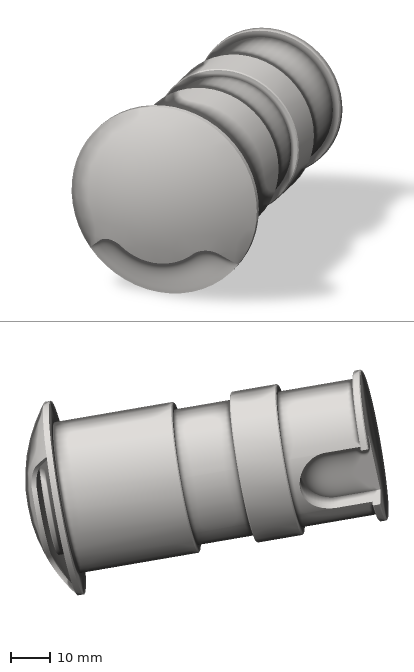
import cadquery as cq
import math

total_length = 89.8

cap_radius = 25.01
plate_thickness = 1.5
dome_height = 8.7
dome_wall = 1.2

opening_arc_radius = 15.1
hump_radius = 5.0
hump_angle = 40.0
flank_angle = 42.0

lens_radius = 14.0
lens_thickness = 3.3

tube_radius = 17.5
flange_radius = 19.5
flange_thickness = 2.0

slot_half_width = 8.0
slot_length = 19.2

collar_radius = flange_radius
sleeve_length = 30.9
ring_start = 45.8
ring_length = 12.0

edge_chamfer = 0.3

cap_depth = plate_thickness + dome_height
tube_length = total_length - cap_depth
dome_radius = (cap_radius**2 + dome_height**2) / (2 * dome_height)
dome_center_y = dome_radius - cap_depth
cavity_radius = dome_radius - dome_wall
slot_depth = slot_half_width

largest_circles = cq.selectors.RadiusNthSelector(-1)


def disc(radius, start_y, length):
    """Cylinder along Y running from start_y towards +Y."""
    plane = cq.Workplane("XZ", origin=(0, start_y, 0))
    return plane.circle(radius).extrude(-length)


def polar_from_below(radius, angle):
    """(X, Z) point at an angle from straight down, positive towards +X."""
    turn = math.radians(angle)
    return radius * math.sin(turn), -radius * math.cos(turn)


def dome_solid(radius):
    """Part of a ball about the dome centre that stands in front of the plate."""
    ball = cq.Workplane("XY").sphere(radius).translate((0, dome_center_y, 0))
    front_space = disc(cap_radius, -cap_depth, dome_height)
    return ball.intersect(front_space)


def light_opening():
    """Prism of the opening: a concentric arc between two humps and sloping flanks."""
    flank = math.radians(flank_angle)
    hump_x, hump_z = polar_from_below(opening_arc_radius + hump_radius, hump_angle)
    arc_end_x, arc_end_z = polar_from_below(opening_arc_radius, hump_angle)
    flank_top_x = hump_x + hump_radius * math.sin(flank)
    flank_top_z = hump_z + hump_radius * math.cos(flank)
    flank_end_x = cap_radius
    flank_end_z = flank_top_z - (flank_end_x - flank_top_x) * math.tan(flank)
    hump_top_z = hump_z + hump_radius
    bottom_z = -cap_radius
    outline = (
        cq.Workplane("XZ", origin=(0, -plate_thickness, 0))
        .moveTo(-flank_end_x, flank_end_z)
        .lineTo(-flank_top_x, flank_top_z)
        .threePointArc((-hump_x, hump_top_z), (-arc_end_x, arc_end_z))
        .threePointArc((0, -opening_arc_radius), (arc_end_x, arc_end_z))
        .threePointArc((hump_x, hump_top_z), (flank_top_x, flank_top_z))
        .lineTo(flank_end_x, flank_end_z)
        .lineTo(flank_end_x, bottom_z)
        .lineTo(-flank_end_x, bottom_z)
        .close()
    )
    return outline.extrude(dome_height)


def make_cap():
    shell = dome_solid(dome_radius).cut(dome_solid(cavity_radius))
    plate = disc(cap_radius, -plate_thickness, plate_thickness)
    return plate.union(shell.cut(light_opening()))


def make_lens():
    lens = disc(lens_radius, -plate_thickness - lens_thickness, lens_thickness)
    return lens.faces("<Y").chamfer(edge_chamfer)


def cable_slot():
    """Round-ended slot cut up into the underside from the rear end."""
    end_center_y = tube_length - slot_length + slot_half_width
    straight_length = tube_length - end_center_y
    plane = cq.Workplane("XY", origin=(0, 0, -flange_radius))
    cut_height = flange_radius - tube_radius + slot_depth
    round_end = plane.center(0, end_center_y).circle(slot_half_width).extrude(cut_height)
    straight = (
        plane.center(0, end_center_y + straight_length / 2)
        .rect(2 * slot_half_width, straight_length)
        .extrude(cut_height)
    )
    return round_end.union(straight)


def make_tube():
    barrel = disc(tube_radius, 0, tube_length)
    flange = disc(flange_radius, tube_length - flange_thickness, flange_thickness)
    flange = flange.edges().chamfer(edge_chamfer)
    return barrel.union(flange).cut(cable_slot())


def collar(start_y, length):
    """Hollow cylinder that fits closely around the tube."""
    return disc(collar_radius, start_y, length).cut(disc(tube_radius, start_y, length))


def make_sleeve():
    rear_face = collar(0, sleeve_length).faces(">Y")
    return rear_face.edges(largest_circles).chamfer(edge_chamfer)


def make_ring():
    return collar(ring_start, ring_length).edges(largest_circles).chamfer(edge_chamfer)


cap = make_cap()
lens = make_lens()
tube = make_tube()
sleeve = make_sleeve()
ring = make_ring()

result = cq.Compound.makeCompound([cap.val(), lens.val(), tube.val(), sleeve.val(), ring.val()])